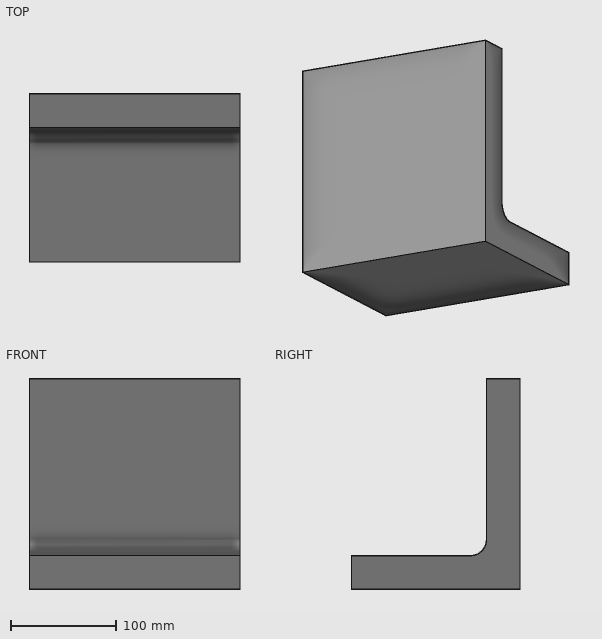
import cadquery as cq

width = 200.0
depth = 160.0
height = 200.0

wall_thickness = 32.0
inner_fillet_radius = 15.0

front_y = -depth / 2
back_y = depth / 2
upright_face_y = back_y - wall_thickness

profile = (
    cq.Workplane("YZ")
    .moveTo(front_y, 0)
    .lineTo(back_y, 0)
    .lineTo(back_y, height)
    .lineTo(upright_face_y, height)
    .lineTo(upright_face_y, wall_thickness + inner_fillet_radius)
    .radiusArc((upright_face_y - inner_fillet_radius, wall_thickness), inner_fillet_radius)
    .lineTo(front_y, wall_thickness)
    .close()
)

result = profile.extrude(width / 2, both=True)